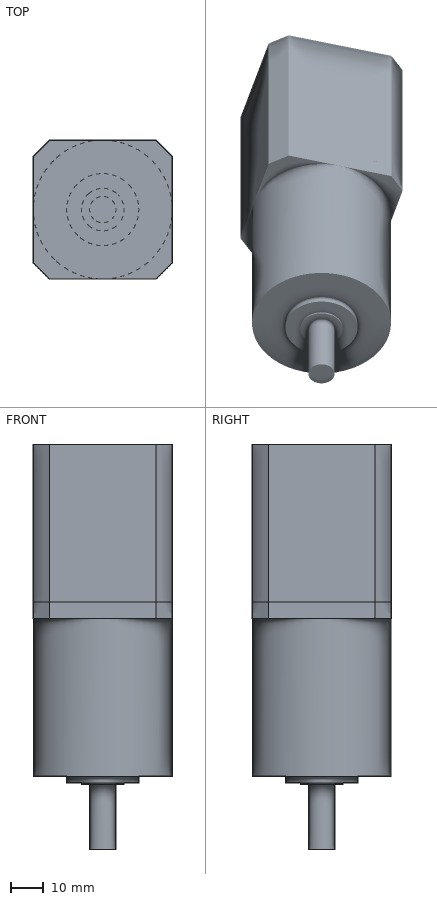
import cadquery as cq

TOTAL_HEIGHT = 123.3
BODY_WIDTH = 42.3
CORNER_CHAMFER = 4.9
MOTOR_HEIGHT = 48.0
ADAPTER_THICKNESS = 5.0
GEARBOX_DIAMETER = BODY_WIDTH
GEARBOX_HEIGHT = 48.0
PILOT_DIAMETER = 22.0
PILOT_HEIGHT = 2.0
BEARING_DIAMETER = 13.0
BEARING_HEIGHT = 0.5
SHAFT_DIAMETER = 8.0

MOTOR_BASE = TOTAL_HEIGHT - MOTOR_HEIGHT
ADAPTER_BASE = MOTOR_BASE - ADAPTER_THICKNESS
GEARBOX_BASE = ADAPTER_BASE - GEARBOX_HEIGHT
PILOT_BASE = GEARBOX_BASE - PILOT_HEIGHT
BEARING_BASE = PILOT_BASE - BEARING_HEIGHT


def chamfered_block(base, height):
    """Square block with its four vertical corners cut at 45 degrees."""
    return (
        cq.Workplane("XY", origin=(0, 0, base))
        .rect(BODY_WIDTH, BODY_WIDTH)
        .extrude(height)
        .edges("|Z")
        .chamfer(CORNER_CHAMFER)
    )


def cylinder(base, diameter, height):
    """Cylinder centred on the motor axis, rising from its base level."""
    return cq.Workplane("XY", origin=(0, 0, base)).circle(diameter / 2).extrude(height)


motor = chamfered_block(MOTOR_BASE, MOTOR_HEIGHT)
adapter_plate = chamfered_block(ADAPTER_BASE, ADAPTER_THICKNESS)
gearbox = cylinder(GEARBOX_BASE, GEARBOX_DIAMETER, GEARBOX_HEIGHT)
pilot_flange = cylinder(PILOT_BASE, PILOT_DIAMETER, PILOT_HEIGHT)
bearing_face = cylinder(BEARING_BASE, BEARING_DIAMETER, BEARING_HEIGHT)
output_shaft = cylinder(0, SHAFT_DIAMETER, BEARING_BASE)

result = cq.Compound.makeCompound([
    motor.val(),
    adapter_plate.val(),
    gearbox.val(),
    pilot_flange.val(),
    bearing_face.val(),
    output_shaft.val(),
])